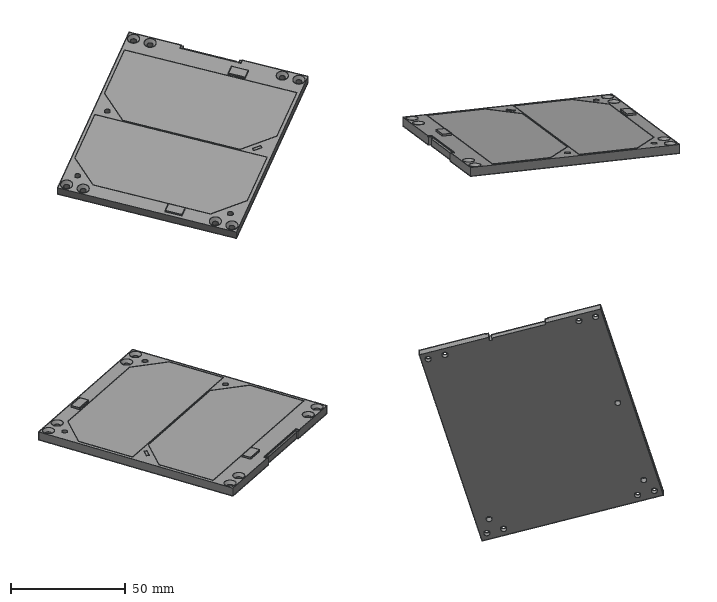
import cadquery as cq

plate_width = 82.6
plate_length = 98.0
plate_thickness = 4.05
overall_height = 4.95

mount_x_outer = 38.15
mount_x_inner = 30.5
mount_y = 45.8
mount_hole_diameter = 2.6
countersink_diameter = 5.3
countersink_angle = 90.0

cell_width = 79.6
cell_length = 40.0
cell_corner_cut = 12.7
cell_thickness = 0.1
cell_pitch = 40.6
upper_cell_center_y = 18.2
cell_centers_y = [upper_cell_center_y, upper_cell_center_y - cell_pitch]

corner_space_x = 35.25
corner_space_offset_y = 16.9
corner_space_ys = [y - corner_space_offset_y for y in cell_centers_y]
plain_hole_diameter = 2.5
diode_length = 3.95
diode_width = 1.3
diode_thickness = 0.15
diode_angle = 45.0
diode_x = 33.9

pad_width = 7.8
pad_length = 4.3
pad_x = 11.75
pad_ys = [41.1, -45.3]

notch_x_min = -16.1
notch_x_max = 9.8
notch_depth = 1.75
shelf_width = 1.1
shelf_drop = 0.4

bar_length = 24.6
bar_depth = 1.0
bar_drop = 0.3
bar_slope_size = 0.6

notch_back_y = plate_length / 2 - notch_depth


def make_plate():
    plate = cq.Workplane("XY").box(
        plate_width, plate_length, plate_thickness, centered=(True, True, False)
    )
    mount_points = [
        (side_x * x, side_y * mount_y)
        for side_x in (-1, 1)
        for side_y in (-1, 1)
        for x in (mount_x_outer, mount_x_inner)
    ]
    plate = (
        plate.faces(">Z").workplane(origin=(0, 0, 0))
        .pushPoints(mount_points)
        .cskHole(mount_hole_diameter, countersink_diameter, countersink_angle)
    )
    upper_y, lower_y = corner_space_ys
    plain_points = [
        (-corner_space_x, upper_y),
        (-corner_space_x, lower_y),
        (corner_space_x, lower_y),
    ]
    return (
        plate.faces(">Z").workplane(origin=(0, 0, 0))
        .pushPoints(plain_points)
        .hole(plain_hole_diameter)
    )


def edge_block(x_min, x_max, z_min):
    """Cutting block from the notch back wall out to the +Y edge, open upward."""
    return cq.Workplane("XY").box(
        x_max - x_min, notch_depth, plate_thickness - z_min, centered=False
    ).translate((x_min, notch_back_y, z_min))


def cut_notch(plate):
    shelf_z = plate_thickness - shelf_drop
    shelves = edge_block(notch_x_min - shelf_width, notch_x_max + shelf_width, shelf_z)
    opening = edge_block(notch_x_min, notch_x_max, 0)
    return plate.cut(shelves).cut(opening)


def make_connector_bar():
    bar_top = plate_thickness - bar_drop
    bar_front_y = notch_back_y + bar_depth
    profile = [
        (notch_back_y, 0),
        (bar_front_y, 0),
        (bar_front_y, bar_top - bar_slope_size),
        (bar_front_y - bar_slope_size, bar_top),
        (notch_back_y, bar_top),
    ]
    return (
        cq.Workplane("YZ", origin=(notch_x_min, 0, 0))
        .polyline(profile).close()
        .extrude(bar_length)
    )


def make_cell(center_y):
    half_width = cell_width / 2
    y_min = center_y - cell_length / 2
    y_max = center_y + cell_length / 2
    outline = [
        (-half_width, y_max),
        (half_width, y_max),
        (half_width, y_min + cell_corner_cut),
        (half_width - cell_corner_cut, y_min),
        (cell_corner_cut - half_width, y_min),
        (-half_width, y_min + cell_corner_cut),
    ]
    return (
        cq.Workplane("XY", origin=(0, 0, plate_thickness))
        .polyline(outline).close()
        .extrude(cell_thickness)
    )


def make_diode():
    return (
        cq.Workplane("XY")
        .box(diode_length, diode_width, diode_thickness, centered=(True, True, False))
        .rotate((0, 0, 0), (0, 0, 1), diode_angle)
        .translate((diode_x, corner_space_ys[0], plate_thickness))
    )


def make_pads():
    return (
        cq.Workplane("XY", origin=(0, 0, plate_thickness))
        .pushPoints([(pad_x, y) for y in pad_ys])
        .rect(pad_width, pad_length)
        .extrude(overall_height - plate_thickness)
    )


result = cut_notch(make_plate())
result = result.union(make_connector_bar())
for cell_y in cell_centers_y:
    result = result.union(make_cell(cell_y))
result = result.union(make_diode()).union(make_pads())